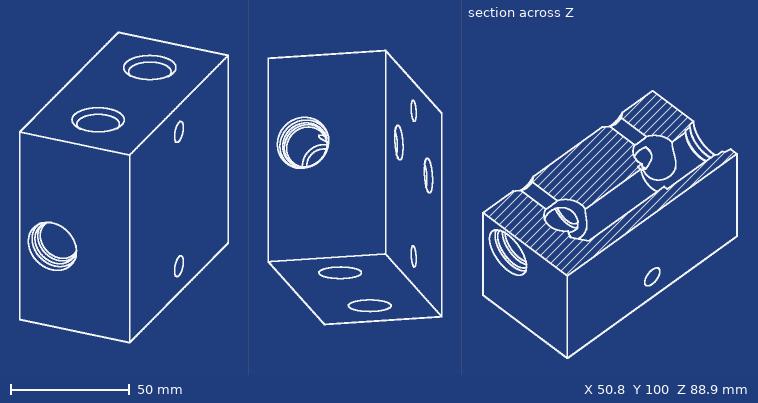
import cadquery as cq
import math

width, length, height = 50.8, 100, 88.9

bore_pitch = 52.4
bore_diameter = 17.9
bore_mouth_diameter = 22
port_diameter = 10.7
port_mouth_diameter = 14.6
port_height = 10.7
mounting_diameter = 8.9
mounting_pitch = 63.6

cavity_offset_x = 10.3
cavity_offset_z = 6.5
mouth_radius = 11.1
mouth_throat_radius = 10.7
mouth_depth = 2.9
thread_radius = 9.6
thread_start = 3.4
thread_end = 6.2
seat_radius = 8.8
seat_start = 7
seat_end = 35
drill_radius = 6.9
drill_depth = 79.4
drill_point_angle = 118


def countersunk_cutter(diameter, mouth_diameter, depth):
    """Drill along -Z from the origin with a 45 degree countersink at its mouth."""
    radius = diameter / 2
    mouth = mouth_diameter / 2
    profile = [(0, 0), (mouth, 0), (radius, radius - mouth), (radius, -depth), (0, -depth)]
    return cq.Workplane("XZ").polyline(profile).close().revolve(360, (0, 0), (0, 1))


def cavity_cutter():
    """Stepped cavity running along +Y from the -Y face, ending in a drill point."""
    point_depth = drill_depth + drill_radius / math.tan(math.radians(drill_point_angle / 2))
    profile = [
        (0, 0),
        (mouth_radius, 0),
        (mouth_throat_radius, mouth_depth),
        (thread_radius, thread_start),
        (thread_radius, thread_end),
        (seat_radius, seat_start),
        (seat_radius, seat_end),
        (drill_radius, seat_end),
        (drill_radius, drill_depth),
        (0, point_depth),
    ]
    cutter = cq.Workplane("XY").polyline(profile).close().revolve(360, (0, 0), (0, 1))
    return cutter.translate((-cavity_offset_x, -length / 2, -cavity_offset_z))


block = cq.Workplane("XY").box(width, length, height)

bore = countersunk_cutter(bore_diameter, bore_mouth_diameter, height)
port = countersunk_cutter(port_diameter, port_mouth_diameter, width / 2)
port = port.rotate((0, 0, 0), (0, 1, 0), -90)
for y in (-bore_pitch / 2, bore_pitch / 2):
    block = block.cut(bore.translate((0, y, height / 2)))
    block = block.cut(port.translate((-width / 2, y, port_height)))

cavity = cavity_cutter()
opposite_cavity = cavity.mirror("XY").mirror("XZ").mirror("YZ")
block = block.cut(cavity).cut(opposite_cavity)

mounting_points = [(0, -mounting_pitch / 2), (0, mounting_pitch / 2)]
mounting_holes = cq.Workplane("YZ").pushPoints(mounting_points).circle(mounting_diameter / 2)
result = block.cut(mounting_holes.extrude(width, both=True))